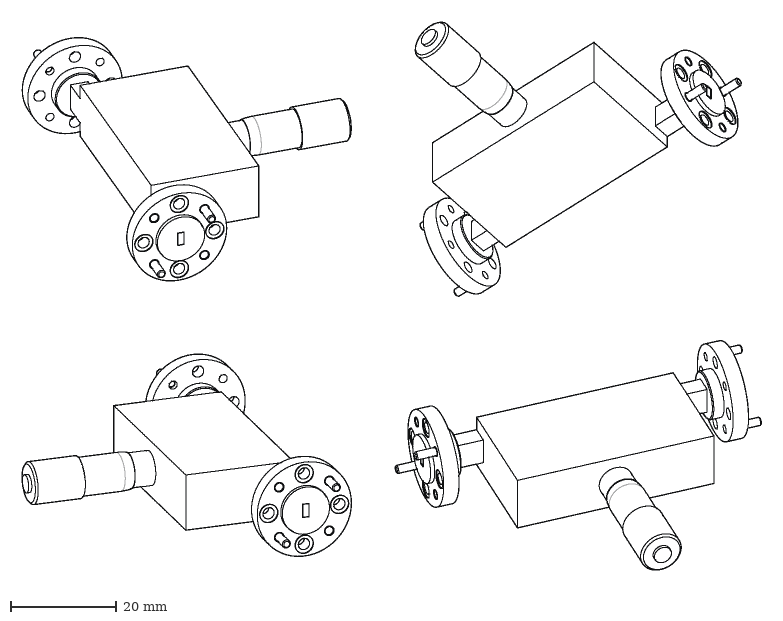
import cadquery as cq
import math

OVERALL_LENGTH = 70.1

BLOCK_LENGTH = 39.95
BLOCK_HEIGHT = 11.2
BLOCK_DEPTH = 21.7
ARM_DEPTH = 3.6
ARM_HEIGHT = 5.3
BLOCK_FRONT_Y = -ARM_DEPTH / 2
BLOCK_BACK_Y = BLOCK_FRONT_Y + BLOCK_DEPTH

DISC_DIAMETER = 19.1
DISC_THICKNESS = 3.15
BOSS_DIAMETER = 9.5
FRONT_BOSS_HEIGHT = 0.85
BACK_BOSS_HEIGHT = 2.3
BACK_BOSS_CHAMFER = 0.2

PORT_WIDTH = 1.25
PORT_HEIGHT = 2.65
PORT_DEPTH = 0.15

BOLT_CIRCLE_RADIUS = 7.15
SCREW_ANGLES = (0, 90, 180, 270)
SCREW_HOLE_DIAMETER = 2.25
COUNTERBORE_DIAMETER = 3.65
COUNTERBORE_DEPTH = 0.2
PIN_HOLE_ANGLES = (45, 135, 225, 315)
PIN_HOLE_DIAMETER = 1.6
PIN_HOLE_MOUTH_DIAMETER = 1.9
PIN_HOLE_MOUTH_DEPTH = 0.15

PIN_ANGLES = (45, 225)
PIN_DIAMETER = PIN_HOLE_DIAMETER
PIN_CHAMFER = 0.2
PIN_PROTRUSION = 4.1
PIN_RECESS = 0.85

DISC_FACE_X = OVERALL_LENGTH / 2 - PIN_PROTRUSION
DISC_BACK_X = DISC_FACE_X - DISC_THICKNESS
FLANGE_FACE_X = DISC_FACE_X + FRONT_BOSS_HEIGHT
FLANGE_BACK_X = DISC_BACK_X - BACK_BOSS_HEIGHT

STEM_DIAMETER = 6.7
COLLAR_END_DIAMETER = 7.0
SLEEVE_DIAMETER = 7.5
THIMBLE_DIAMETER = 8.3
KNOB_DIAMETER = 3.5
COLLAR_START = 4.2
SLEEVE_START = 6.3
THIMBLE_START = 14.5
THIMBLE_END = 24.45
THIMBLE_CHAMFER = 0.4
KNOB_END = 25.1


def cylinder_along_x(start_x, diameter, length):
    return cq.Workplane("YZ", origin=(start_x, 0, 0)).circle(diameter / 2).extrude(length)


def cylinders_on_bolt_circle(start_x, angles, diameter, length):
    """Cylinders pointing along +X from start_x, at the given angles around the bolt circle."""
    places = [
        (BOLT_CIRCLE_RADIUS * math.cos(math.radians(a)), BOLT_CIRCLE_RADIUS * math.sin(math.radians(a)))
        for a in angles
    ]
    plane = cq.Workplane("YZ", origin=(start_x, 0, 0))
    return plane.pushPoints(places).circle(diameter / 2).extrude(length)


def turned(shape, turn):
    """Shape turned about the Z axis: a turn of 180 degrees takes it from the +X end to the -X end."""
    return shape.rotate((0, 0, 0), (0, 0, 1), turn)


def block_with_arms():
    block = (
        cq.Workplane("XY")
        .box(BLOCK_LENGTH, BLOCK_DEPTH, BLOCK_HEIGHT)
        .translate((0, BLOCK_FRONT_Y + BLOCK_DEPTH / 2, 0))
    )
    arms = cq.Workplane("XY").box(2 * FLANGE_BACK_X, ARM_DEPTH, ARM_HEIGHT)
    return block.union(arms)


def pin_holes():
    """Through holes for the pins, each with a shallow wider mouth in the mating face of the disc."""
    holes = cylinders_on_bolt_circle(DISC_BACK_X, PIN_HOLE_ANGLES, PIN_HOLE_DIAMETER, DISC_THICKNESS)
    mouths = cylinders_on_bolt_circle(
        DISC_FACE_X - PIN_HOLE_MOUTH_DEPTH, PIN_HOLE_ANGLES, PIN_HOLE_MOUTH_DIAMETER, PIN_HOLE_MOUTH_DEPTH
    )
    return holes.union(mouths)


def screw_holes():
    """Through holes for the screws, each with a shallow counterbore in the mating face of the disc."""
    holes = cylinders_on_bolt_circle(DISC_BACK_X, SCREW_ANGLES, SCREW_HOLE_DIAMETER, DISC_THICKNESS)
    counterbores = cylinders_on_bolt_circle(
        DISC_FACE_X - COUNTERBORE_DEPTH, SCREW_ANGLES, COUNTERBORE_DIAMETER, COUNTERBORE_DEPTH
    )
    return holes.union(counterbores)


def waveguide_port():
    plane = cq.Workplane("YZ", origin=(FLANGE_FACE_X - PORT_DEPTH, 0, 0))
    return plane.rect(PORT_WIDTH, PORT_HEIGHT).extrude(PORT_DEPTH)


def flange():
    """Flange at the +X end, with its mating face towards +X."""
    disc = cylinder_along_x(DISC_BACK_X, DISC_DIAMETER, DISC_THICKNESS)
    front_boss = cylinder_along_x(DISC_FACE_X, BOSS_DIAMETER, FRONT_BOSS_HEIGHT)
    back_boss = cylinder_along_x(FLANGE_BACK_X, BOSS_DIAMETER, BACK_BOSS_HEIGHT)
    back_boss = back_boss.faces("<X").chamfer(BACK_BOSS_CHAMFER)
    body = disc.union(front_boss).union(back_boss)
    return body.cut(screw_holes()).cut(pin_holes()).cut(waveguide_port())


def micrometer():
    """Solid of revolution about the Y axis, standing on the back of the housing block."""
    collar_length = SLEEVE_START - COLLAR_START
    profile = (
        cq.Workplane("XY")
        .polyline(
            [
                (0, KNOB_END),
                (KNOB_DIAMETER / 2, KNOB_END),
                (KNOB_DIAMETER / 2, THIMBLE_END),
                (THIMBLE_DIAMETER / 2 - THIMBLE_CHAMFER, THIMBLE_END),
                (THIMBLE_DIAMETER / 2, THIMBLE_END - THIMBLE_CHAMFER),
                (THIMBLE_DIAMETER / 2, THIMBLE_START),
                (SLEEVE_DIAMETER / 2, THIMBLE_START),
                (SLEEVE_DIAMETER / 2, SLEEVE_START),
            ]
        )
        .tangentArcPoint(((COLLAR_END_DIAMETER - SLEEVE_DIAMETER) / 2, -collar_length))
        .lineTo(STEM_DIAMETER / 2, COLLAR_START)
        .lineTo(STEM_DIAMETER / 2, 0)
        .lineTo(0, 0)
        .close()
    )
    return profile.revolve(360, (0, 0, 0), (0, 1, 0)).translate((0, BLOCK_BACK_Y, 0))


def make_housing():
    housing = block_with_arms().union(micrometer())
    for turn in (0, 180):
        housing = housing.union(turned(flange(), turn))
    return housing


def make_pin(angle):
    """Guide pin of the +X flange, recessed from the back of the disc and chamfered at both ends."""
    length = DISC_THICKNESS - PIN_RECESS + PIN_PROTRUSION
    pin = cylinders_on_bolt_circle(DISC_BACK_X + PIN_RECESS, [angle], PIN_DIAMETER, length)
    return pin.faces("<X or >X").chamfer(PIN_CHAMFER)


housing = make_housing()
pins = [turned(make_pin(angle), turn) for turn in (0, 180) for angle in PIN_ANGLES]

result = cq.Compound.makeCompound([housing.val(), *[pin.val() for pin in pins]])